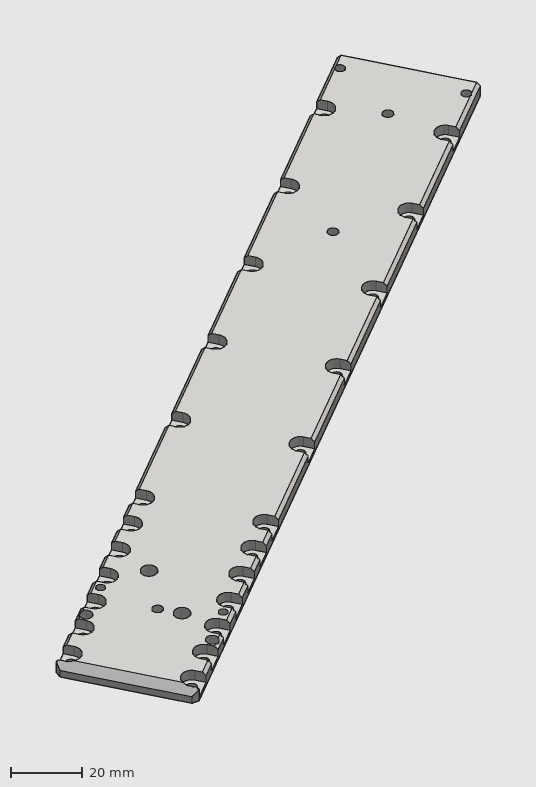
import cadquery as cq

width = 42.0
length = 273.0
thickness = 5.0
front_y = -length / 2
back_y = length / 2

side_bevel = 1.0
front_bevel = 2.5
corner_bevel = 1.6

seat_inset = 3.3
seat_diameter = 6.3
seat_depth = 3.5
screw_diameter = 3.3
wide_pitch = 35.0
wide_steps = 5
close_steps = 6
close_pitch = wide_pitch / 3
first_seat_y = front_y + 5.2

back_pin_diameter = 3.0
back_pin_inset = 2.5
back_pin_setback = 5.5
front_pin_diameter = 3.8
front_pin_inset = 2.5
front_pin_setback = 22.5
guide_pin_diameter = 2.7
guide_pin_inset = 3.0
guide_pin_setback = 34.7
center_hole_diameter = 3.3
center_hole_ys = [front_y + 30.5, back_y - 73.2, back_y - 20.2]
port_diameter = 5.0
port_offset = 7.0
left_port_y = front_y + 45.5
right_port_y = front_y + 30.8


def make_plate():
    """Flat bar with bevelled front corners, front edge and long edges."""
    plate = cq.Workplane("XY").box(width, length, thickness, centered=(True, True, False))
    plate = plate.faces(">Z").edges("|Y").chamfer(side_bevel)
    plate = plate.faces(">Z").edges("<Y").chamfer(front_bevel)
    for side in (-1, 1):
        corner = (
            cq.Workplane("XY")
            .moveTo(side * width / 2, front_y)
            .lineTo(side * (width / 2 - corner_bevel), front_y)
            .lineTo(side * width / 2, front_y + corner_bevel)
            .close()
            .extrude(thickness)
        )
        plate = plate.cut(corner)
    return plate


def mirrored(inset, ys):
    """Points at the given inset from both long sides."""
    x = width / 2 - inset
    return [(side * x, y) for side in (-1, 1) for y in ys]


def through_holes(points, diameter):
    """Cutting cylinders over the full thickness."""
    return cq.Workplane("XY").pushPoints(points).circle(diameter / 2).extrude(thickness)


def make_seat_pockets(points):
    """Round pockets joined to the nearest long side by a channel of the same width."""
    floor = cq.Workplane("XY").workplane(offset=thickness - seat_depth)
    pockets = floor.pushPoints(points).circle(seat_diameter / 2).extrude(seat_depth)
    for x, y in points:
        side = 1 if x > 0 else -1
        channel = (
            floor.center(x + side * seat_inset / 2, y)
            .rect(seat_inset, seat_diameter)
            .extrude(seat_depth)
        )
        pockets = pockets.union(channel)
    return pockets


close_seat_ys = [first_seat_y + i * close_pitch for i in range(close_steps + 1)]
wide_seat_ys = [close_seat_ys[-1] + i * wide_pitch for i in range(1, wide_steps + 1)]
seat_points = mirrored(seat_inset, close_seat_ys + wide_seat_ys)

back_pins = mirrored(back_pin_inset, [back_y - back_pin_setback])
front_pins = mirrored(front_pin_inset, [front_y + front_pin_setback])
guide_pins = mirrored(guide_pin_inset, [front_y + guide_pin_setback])
center_holes = [(0, y) for y in center_hole_ys]
ports = [(-port_offset, left_port_y), (port_offset, right_port_y)]

result = make_plate().cut(make_seat_pockets(seat_points))
for points, diameter in [
    (seat_points, screw_diameter),
    (back_pins, back_pin_diameter),
    (front_pins, front_pin_diameter),
    (guide_pins, guide_pin_diameter),
    (center_holes, center_hole_diameter),
    (ports, port_diameter),
]:
    result = result.cut(through_holes(points, diameter))